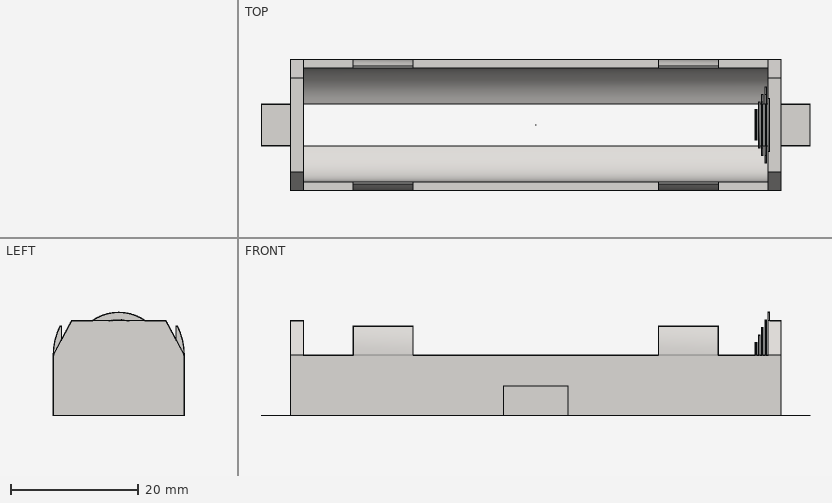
import cadquery as cq
import math

overall_length = 86.4
body_length = 77.25
body_width = 20.65
side_height = 9.5
end_height = 14.95
end_thickness = 2.1
end_top_width = 14.9
inner_length = body_length - 2 * end_thickness

trough_radius = 9.0
trough_axis_height = side_height
slot_width = 6.6

clip_length = 9.4
clip_center = 24.0
clip_height = 14.1
clip_outer_radius = body_width / 2

notch_length = 10.2
notch_height = 4.7
notch_depth = 1.3

tab_width = 6.6
tab_thickness = 0.04
tab_length = (overall_length - body_length) / 2

ring_count = 5
largest_hole_diameter = 12.0
ring_radial_width = largest_hole_diameter / 2 / ring_count
ring_spacing = 0.5
ring_thickness = 0.3
spring_axis_height = 9.1
spring_base_x = inner_length / 2

pin_diameter = 0.02
pin_length = pin_diameter


def make_ring(index):
    """Flat ring about the X axis; index 0 is the largest, set flush in the end wall."""
    hole_radius = largest_hole_diameter / 2 - index * ring_radial_width
    start_x = spring_base_x - index * ring_spacing
    return (
        cq.Workplane("YZ", origin=(start_x, 0, spring_axis_height))
        .circle(hole_radius + ring_radial_width)
        .circle(hole_radius)
        .extrude(ring_thickness)
    )


def make_walls():
    """Solid block between two taller end walls with sloped upper corners."""
    block = cq.Workplane().box(body_length, body_width, side_height, centered=(True, True, False))
    for start in (-body_length / 2, inner_length / 2):
        end_wall = (
            cq.Workplane("YZ", origin=(start, 0, 0))
            .moveTo(-body_width / 2, 0)
            .lineTo(body_width / 2, 0)
            .lineTo(body_width / 2, side_height)
            .lineTo(end_top_width / 2, end_height)
            .lineTo(-end_top_width / 2, end_height)
            .lineTo(-body_width / 2, side_height)
            .close()
            .extrude(end_thickness)
        )
        block = block.union(end_wall)
    return block


def cut_trough(block):
    """Round trough between the end walls, with a slot through its floor."""
    trough = (
        cq.Workplane("YZ", origin=(-inner_length / 2, 0, trough_axis_height))
        .circle(trough_radius)
        .extrude(inner_length)
        .intersect(cq.Workplane().box(body_length, body_width, side_height, centered=(True, True, False)))
    )
    slot = cq.Workplane().box(inner_length, slot_width, side_height, centered=(True, True, False))
    return block.cut(trough).cut(slot)


def cut_notches(block):
    for side in (-1, 1):
        notch = (
            cq.Workplane()
            .box(notch_length, notch_depth, notch_height, centered=(True, True, False))
            .translate((0, side * (body_width - notch_depth) / 2, 0))
        )
        block = block.cut(notch)
    return block


def make_clip(x_center, side):
    """Clip with a flat inner face and an outer face that curves in over the cell."""
    rise = clip_height - side_height
    top_y = math.sqrt(clip_outer_radius**2 - rise**2)
    middle_y = math.sqrt(clip_outer_radius**2 - (rise / 2) ** 2)
    return (
        cq.Workplane("YZ", origin=(x_center - clip_length / 2, 0, side_height))
        .moveTo(side * trough_radius, 0)
        .lineTo(side * clip_outer_radius, 0)
        .threePointArc((side * middle_y, rise / 2), (side * top_y, rise))
        .lineTo(side * trough_radius, rise)
        .close()
        .extrude(clip_length)
    )


def make_tab(end):
    return (
        cq.Workplane()
        .box(tab_length, tab_width, tab_thickness, centered=(True, True, False))
        .translate((end * (body_length + tab_length) / 2, 0, 0))
    )


def make_housing():
    """Housing with its clips, solder tabs and the base ring set flush in the end wall."""
    housing = cut_notches(cut_trough(make_walls()))
    for end in (-1, 1):
        housing = housing.union(make_tab(end))
        for side in (-1, 1):
            housing = housing.union(make_clip(end * clip_center, side))
    return housing.union(make_ring(0))


def make_locating_pin():
    """Round pin just below the floor slot."""
    return cq.Workplane().circle(pin_diameter / 2).extrude(-pin_length)


housing = make_housing()
spring_rings = [make_ring(index) for index in range(1, ring_count)]
locating_pin = make_locating_pin()

result = cq.Compound.makeCompound(
    [housing.val(), *[ring.val() for ring in spring_rings], locating_pin.val()]
)